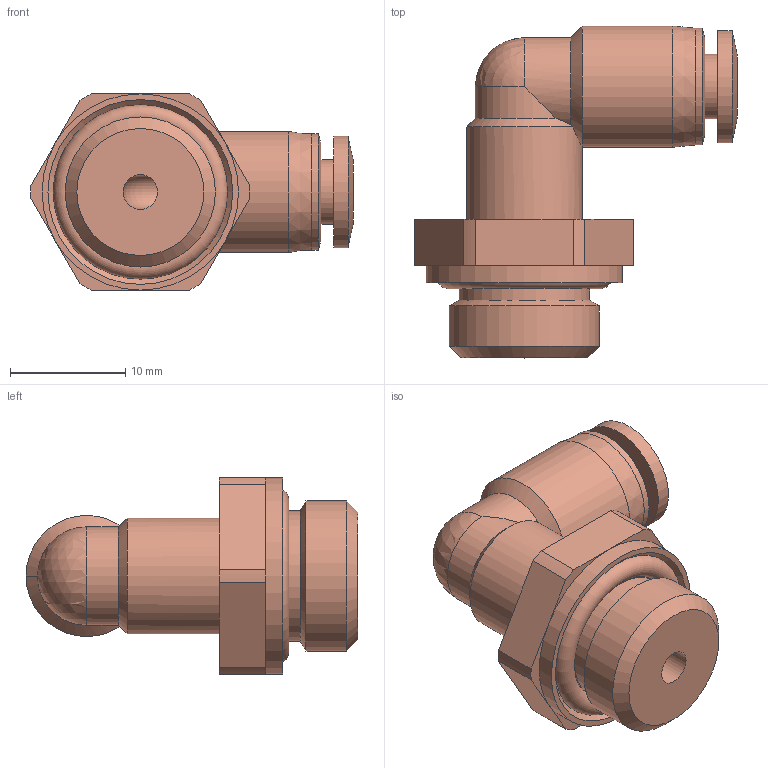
import cadquery as cq
import math


elbow_radius = 4.25
bore_radius = 1.5
bend_radius = 3.0

sleeve_radius = 5.0
sleeve_start = 3.5
sleeve_chamfer = sleeve_radius - elbow_radius
hex_across_flats = 17.0
hex_corner_radius = 9.5
hex_start = 11.5
hex_height = 4.0
hex_end = hex_start + hex_height
flange_radius = hex_across_flats / 2
flange_thickness = 1.5
flange_end = hex_end + flange_thickness

neck_radius = 5.65
neck_end = 18.5
thread_radius = 6.5
thread_start = 19.0
stem_end = 23.5
thread_chamfer = 1.0

ring_wire_radius = 0.95
ring_protrusion = 0.5
ring_center_radius = neck_radius + ring_wire_radius
ring_center_depth = flange_end + ring_protrusion - ring_wire_radius
ring_seat_depth = ring_center_depth - ring_wire_radius
ring_outer_radius = ring_center_radius + ring_wire_radius
recess_mouth_radius = 8.0
recess_chamfer = recess_mouth_radius - ring_outer_radius

port_radius = 5.25
port_shoulder = 4.0
port_chamfer = port_radius - elbow_radius
taper_start = 12.85
taper_end = 14.83
cap_radius = 5.05
cap_edge = 15.42
cap_end = 15.65
cap_face_radius = 4.15

button_neck_radius = 2.8
button_start = 16.75
button_radius = 4.85
button_edge = 18.0
button_end = 18.45
button_face_radius = 2.7


def turned_about_y(profile):
    """Revolve (radius, depth) points about the stem axis, depth measured along -Y."""
    points = [(radius, -depth) for radius, depth in profile]
    return cq.Workplane("XY").polyline(points).close().revolve(360, (0, 0), (0, 1))


def turned_about_x(profile):
    """Revolve (radius, distance) points about the port axis, distance measured along +X."""
    points = [(distance, radius) for radius, distance in profile]
    return cq.Workplane("XY").polyline(points).close().revolve(360, (0, 0), (1, 0))


def make_stem():
    """Elbow leg, sleeve, flange and screw-in end, turned about the stem axis."""
    return turned_about_y([
        (0, 0),
        (elbow_radius, 0),
        (elbow_radius, sleeve_start - sleeve_chamfer),
        (sleeve_radius, sleeve_start),
        (sleeve_radius, hex_end),
        (flange_radius, hex_end),
        (flange_radius, flange_end),
        (neck_radius, flange_end),
        (neck_radius, neck_end),
        (thread_radius, thread_start),
        (thread_radius, stem_end - thread_chamfer),
        (thread_radius - thread_chamfer, stem_end),
        (0, stem_end),
    ])


def make_hexagon():
    """Hexagon whose corners are turned down to a round."""
    across_corners = hex_across_flats / math.cos(math.pi / 6)
    plane = cq.Workplane("XZ", origin=(0, -hex_start, 0))
    prism = plane.polygon(6, across_corners).extrude(hex_height)
    return prism.intersect(plane.circle(hex_corner_radius).extrude(hex_height))


def make_port():
    """Port body ending in the release button, turned about the port axis."""
    return turned_about_x([
        (0, 0),
        (elbow_radius, 0),
        (elbow_radius, port_shoulder),
        (port_radius, port_shoulder + port_chamfer),
        (port_radius, taper_start),
        (cap_radius, taper_end),
        (cap_radius, cap_edge),
        (cap_face_radius, cap_end),
        (button_neck_radius, cap_end),
        (button_neck_radius, button_start),
        (button_radius, button_start),
        (button_radius, button_edge),
        (button_face_radius, button_end),
        (0, button_end),
    ])


def make_ring_recess():
    """Groove around the neck, sunk into the flange face and opened out by a chamfer."""
    return turned_about_y([
        (neck_radius, ring_seat_depth),
        (ring_outer_radius, ring_seat_depth),
        (ring_outer_radius, flange_end - recess_chamfer),
        (recess_mouth_radius, flange_end),
        (neck_radius, flange_end),
    ])


def make_bore():
    """Bore up the stem that bends through a quarter turn and runs out through the port."""
    bend_middle = bend_radius * (1 - math.cos(math.pi / 4))
    path = (
        cq.Workplane("XY")
        .moveTo(0, -stem_end)
        .lineTo(0, -bend_radius)
        .threePointArc((bend_middle, -bend_middle), (bend_radius, 0))
        .lineTo(button_end, 0)
    )
    return cq.Workplane("XZ", origin=(0, -stem_end, 0)).circle(bore_radius).sweep(path)


def make_fitting():
    """One-piece elbow with hexagon and button, recessed for the ring and bored through."""
    body = cq.Workplane("XY").sphere(elbow_radius)
    body = body.union(make_stem()).union(make_port()).union(make_hexagon())
    return body.cut(make_ring_recess()).cut(make_bore())


def make_sealing_ring():
    """O-ring lying on the neck at the bottom of the flange recess."""
    section = cq.Workplane("XY").center(ring_center_radius, -ring_center_depth).circle(ring_wire_radius)
    return section.revolve(360, (-ring_center_radius, 0), (-ring_center_radius, 1))


fitting = make_fitting()
sealing_ring = make_sealing_ring()

result = cq.Compound.makeCompound([fitting.val(), sealing_ring.val()])